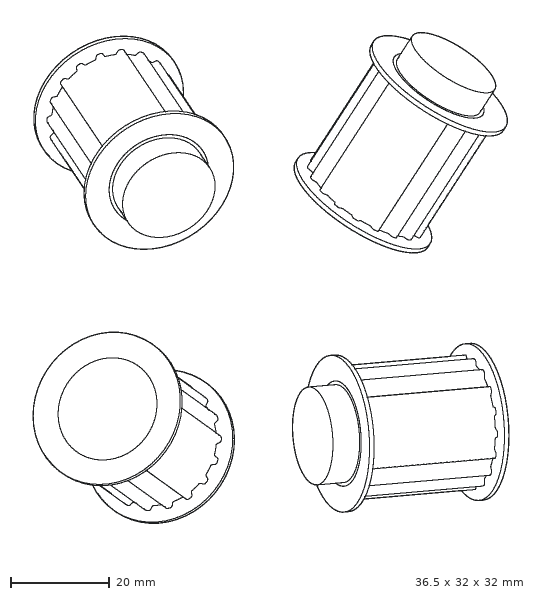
import cadquery as cq
import math


total_length = 36.55
flanged_length = 31.1

flange_diameter = 32.0
flange_thickness = 1.02
flange_dish = 0.5
web_diameter = 28.05

spigot_diameter = 21.5
hub_diameter = 20.0

tooth_count = 18
tip_radius = 13.7
root_radius = 12.65
tooth_tip_width = 1.2
flank_angle = 21.0
tip_fillet = 0.5
root_fillet = 0.3

tooth_pitch_angle = 360 / tooth_count
flange_inner_face = flange_dish + flange_thickness
toothed_length = flanged_length - 2 * flange_inner_face
line_tolerance = 0.05

def cylinder_x(diameter, start, end):
    """Cylinder about the X axis between two X positions."""
    return cq.Workplane("YZ", origin=(start, 0, 0)).circle(diameter / 2).extrude(end - start)

def make_tooth():
    """One tapered tooth pointing along +Y, reaching inside the root cylinder and past the tip cylinder."""
    slope = math.tan(math.radians(flank_angle))
    base_radius = root_radius - tooth_tip_width / 2
    top_radius = tip_radius + tooth_tip_width / 2
    base_half = tooth_tip_width / 2 + (tip_radius - base_radius) * slope
    top_half = tooth_tip_width / 2 - (top_radius - tip_radius) * slope
    outline = [
        (base_radius, -base_half),
        (top_radius, -top_half),
        (top_radius, top_half),
        (base_radius, base_half),
    ]
    return (
        cq.Workplane("YZ", origin=(flange_inner_face, 0, 0))
        .polyline(outline)
        .close()
        .extrude(toothed_length)
    )

def lengthwise_edges_at(solid, radius):
    """Edges parallel to X that lie at a given distance from the axis."""
    def at_radius(edge):
        centre = edge.Center()
        return abs(math.hypot(centre.y, centre.z) - radius) < line_tolerance

    return solid.edges("|X").filter(at_radius)

def make_toothed_barrel():
    """Root cylinder with filleted teeth all round."""
    end = flange_inner_face + toothed_length
    barrel = cylinder_x(2 * root_radius, flange_inner_face, end)
    tooth = make_tooth()
    for index in range(tooth_count):
        barrel = barrel.union(tooth.rotate((0, 0, 0), (1, 0, 0), index * tooth_pitch_angle))
    barrel = barrel.intersect(cylinder_x(2 * tip_radius, flange_inner_face, end))
    barrel = lengthwise_edges_at(barrel, tip_radius).fillet(tip_fillet)
    return lengthwise_edges_at(barrel, root_radius).fillet(root_fillet)

def make_body():
    """Toothed barrel with a spigot at each end and the hub beyond the far spigot."""
    spigot_end = flanged_length - flange_dish
    spigots = cylinder_x(spigot_diameter, flange_dish, spigot_end)
    hub = cylinder_x(hub_diameter, spigot_end, total_length)
    return make_toothed_barrel().union(spigots).union(hub)

def make_flange():
    """Dished ring with its rim face at X = 0 and its web set in towards +X."""
    half_section = [
        (flange_dish, spigot_diameter / 2),
        (flange_dish, web_diameter / 2),
        (0, flange_diameter / 2),
        (flange_thickness, flange_diameter / 2),
        (flange_inner_face, web_diameter / 2),
        (flange_inner_face, spigot_diameter / 2),
    ]
    return cq.Workplane("XY").polyline(half_section).close().revolve(360, (0, 0, 0), (1, 0, 0))

body = make_body()

axis_start = (flanged_length / 2, 0, 0)
axis_end = (flanged_length / 2, 0, 1)
flanges = []
for half_turn in (0, 180):
    flange = make_flange().rotate(axis_start, axis_end, half_turn)
    flanges.append(flange.val())

result = cq.Compound.makeCompound([body.val(), *flanges])